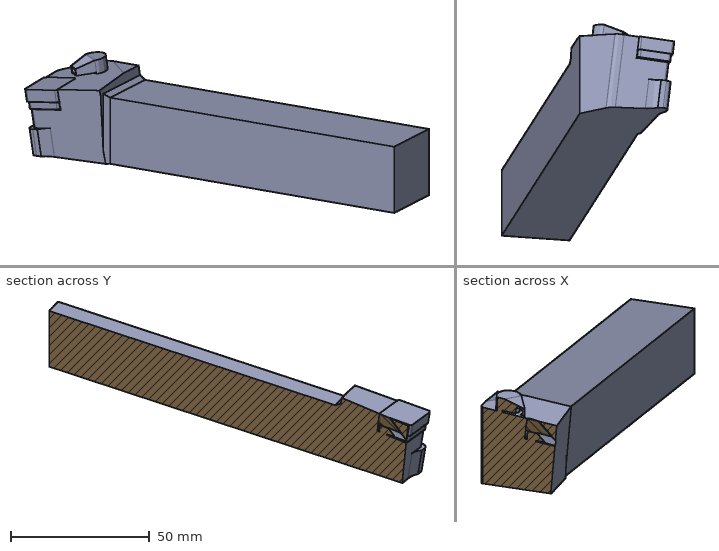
import cadquery as cq
import math


total_length = 150.0
tip_reach = 32.0
shank_size = 25.0
tip_height = 25.0
shank_start = 31.8
shank_front = tip_reach - shank_size

head_end = 29.7
head_end_lean = 0.6
head_flat_height = 30.0
head_corner_x = 14.3
corner_blend = 5.0
front_relief = 0.9
side_relief = 0.8
head_nose_radius = 0.8
neck_rise = 1.5

rake_angle = 8.0
rake_slope = math.tan(math.radians(rake_angle)) / math.sqrt(2)

insert_angle = 80.0
edge_angle = 5.0
inscribed_circle = 12.7
insert_thickness = 4.76
insert_nose_radius = 0.8
shim_thickness = 3.18
shim_relief = 0.45
shim_chamfer = 0.4

foot_diameter = 3.8
foot_step = 1.5
foot_depth = 15.1
foot_flat_end = 3.4
foot_blend_end = 7.8

clamp_x = 16.9
clamp_y = 22.6
clamp_radius = 4.5
clamp_height = 5.23
clamp_gap = 0.5
clamp_nose_height = 3.1
clamp_nose_width = 4.4
clamp_slot_length = 3.5
clamp_slot_height = 2.0
clamp_slot_depth = 3.0
clamp_crease = 1.3
clamp_reach = 8.25
clamp_direction = 232.0

seat = cq.Plane(origin=(0, 0, tip_height), xDir=(1, 0, rake_slope), normal=(-rake_slope, -rake_slope, 1))
head_depth = 2 * tip_height
head_overrun = 1.5 * shank_start


def unit(degrees):
    return cq.Vector(math.cos(math.radians(degrees)), math.sin(math.radians(degrees)))


front_edge = unit(edge_angle)
side_edge = unit(edge_angle + insert_angle)
edge_stretch = 1 / math.sin(math.radians(insert_angle))
edge_length = inscribed_circle * edge_stretch
corner_reach = 1 / math.sin(math.radians(insert_angle / 2))
corner_bisector = unit(edge_angle + insert_angle / 2)
nose_centre = cq.Vector(insert_nose_radius, insert_nose_radius)
insert_corner = nose_centre - corner_bisector * (insert_nose_radius * corner_reach)


def inset_corner(front_inset, side_inset):
    """Corner between lines set in from the front and side cutting edges."""
    return insert_corner + (front_edge * side_inset + side_edge * front_inset) * edge_stretch


def points(vectors):
    return [(v.x, v.y) for v in vectors]


def seat_plane(depth=0.0):
    return cq.Workplane(seat).workplane(offset=-depth)


def rhombus(inset, top_depth, thickness):
    """Rounded rhombic plate below the seat, set in on all four sides from the insert outline."""
    near = inset_corner(inset, inset)
    length = edge_length - 2 * inset * edge_stretch
    front = front_edge * length
    side = side_edge * length
    outline = [near, near + front, near + front + side, near + side]
    plate = seat_plane(top_depth).polyline(points(outline)).close().extrude(-thickness)
    return plate.edges(cq.selectors.ParallelDirSelector(seat.zDir)).fillet(insert_nose_radius)


def round_long_edge(body, corner, radius):
    """Round the edge that runs square to the seat through the given corner of a deep prism."""
    on_edge = seat.toWorldCoords((corner.x, corner.y, -head_depth / 2))
    nearest = cq.selectors.NearestToPointSelector(on_edge.toTuple())
    return body.edges(cq.selectors.ParallelDirSelector(seat.zDir)).edges(nearest).fillet(radius)


def make_shank():
    length = total_length - shank_start
    corner = (shank_start, shank_front, 0)
    return cq.Workplane("XY", origin=corner).box(length, shank_size, shank_size, centered=False)


def make_neck():
    """Flare from the shank section up to the head; the bottom and back faces stay flush."""
    large_size = shank_size + neck_rise
    start = cq.Workplane("YZ", origin=(shank_start, tip_reach, 0))
    small = start.rect(-shank_size, shank_size, centered=False)
    large = small.workplane(offset=head_end - shank_start).rect(-large_size, large_size, centered=False)
    return large.loft()


def make_head_space():
    """Room for the head: between the bottom, the flat cap, the back side face and the leaning end face."""
    neck_top = shank_size + neck_rise
    outline = [
        (-tip_reach, 0),
        (head_end, 0),
        (head_end, neck_top),
        (head_end - head_end_lean, head_flat_height),
        (-tip_reach, head_flat_height),
    ]
    back = cq.Workplane("XZ", origin=(0, tip_reach, 0))
    return back.polyline(outline).close().extrude(2 * tip_reach)


def make_head_prism():
    """Walls of the head, square to the seat; trimmed later by the head space and the neck."""
    corner = inset_corner(front_relief, side_relief)
    front_end = corner + front_edge * head_overrun
    cut_shift = tip_reach - head_corner_x
    along_side = (corner.x + cut_shift - corner.y) / (side_edge.y - side_edge.x)
    cut_start = corner + side_edge * along_side
    cut_end = cq.Vector(front_end.x, front_end.x + cut_shift)
    outline = seat_plane().polyline(points([corner, front_end, cut_end, cut_start])).close()
    head = outline.extrude(-head_depth)
    head = round_long_edge(head, corner, head_nose_radius)
    return round_long_edge(head, cut_start, corner_blend)


def make_clamp():
    """Clamp with a round end, a sloped top towards its tapering nose and a slot in the nose."""
    half_nose = clamp_nose_width / 2
    half_crease = math.sqrt(clamp_radius ** 2 - clamp_crease ** 2)
    frame = cq.Plane(
        origin=seat.toWorldCoords((clamp_x, clamp_y, 0)),
        xDir=seat.toWorldCoords(unit(clamp_direction).toTuple()) - seat.origin,
        normal=seat.zDir,
    )
    body = (
        cq.Workplane(frame)
        .moveTo(clamp_crease, half_crease)
        .threePointArc((-clamp_radius, 0), (clamp_crease, -half_crease))
        .lineTo(clamp_reach, -half_nose)
        .lineTo(clamp_reach, half_nose)
        .close()
        .extrude(clamp_height)
    )
    side = cq.Plane(origin=frame.origin, xDir=frame.xDir, normal=-frame.yDir)
    ramp = (
        cq.Workplane(side)
        .polyline([
            (clamp_crease, clamp_height),
            (clamp_reach, clamp_nose_height),
            (clamp_reach, clamp_height),
        ])
        .close()
        .extrude(clamp_radius, both=True)
    )
    clearance = (
        cq.Workplane(frame)
        .center((clamp_crease + clamp_reach) / 2, 0)
        .rect(clamp_reach - clamp_crease, 2 * clamp_radius)
        .extrude(clamp_gap)
    )
    nose_face = cq.Plane(
        origin=frame.toWorldCoords((clamp_reach, 0, (clamp_gap + clamp_nose_height) / 2)),
        xDir=frame.yDir,
        normal=frame.xDir,
    )
    slot = cq.Workplane(nose_face).slot2D(clamp_slot_length, clamp_slot_height).extrude(-clamp_slot_depth)
    return body.cut(ramp).cut(clearance).cut(slot)


def make_foot():
    """Corner foot: two flats round a cylindrical nose, each ending in a hollow that runs out on the wall."""
    run = foot_blend_end - foot_flat_end
    hollow_radius = (foot_step ** 2 + run ** 2) / (2 * foot_step)
    half_turn = math.asin(run / hollow_radius) / 2
    mid_run = hollow_radius * math.sin(half_turn)
    mid_step = hollow_radius * (1 - math.cos(half_turn))
    outer = inset_corner(front_relief - foot_step, side_relief - foot_step)
    inner = inset_corner(front_relief, side_relief)

    def side_points(edge, outward, relief):
        wall_end = insert_corner + edge * foot_blend_end - outward * relief
        hollow_middle = wall_end - edge * mid_run + outward * mid_step
        flat_end = insert_corner + edge * foot_flat_end + outward * (foot_step - relief)
        return points([wall_end, hollow_middle, flat_end])

    front = side_points(front_edge, unit(edge_angle - 90), front_relief)
    side = side_points(side_edge, unit(edge_angle + insert_angle + 90), side_relief)
    root = inner + corner_bisector * foot_blend_end
    foot = (
        seat_plane(foot_depth)
        .moveTo(root.x, root.y)
        .lineTo(*front[0])
        .threePointArc(front[1], front[2])
        .lineTo(outer.x, outer.y)
        .lineTo(*side[2])
        .threePointArc(side[1], side[0])
        .close()
        .extrude(-head_depth)
    )
    return round_long_edge(foot, outer, foot_diameter / 2)


insert = rhombus(0, 0, insert_thickness)
pocket = rhombus(0, 0, insert_thickness + shim_thickness)
shim = rhombus(shim_relief, insert_thickness, shim_thickness).faces("<Z").chamfer(shim_chamfer)

head_prism = make_head_prism()
head = head_prism.union(make_foot()).intersect(make_head_space())
neck = make_neck().intersect(head_prism)
holder = make_shank().union(neck).union(head).cut(pocket).union(shim).union(make_clamp())

result = cq.Compound.makeCompound([holder.solids().val(), insert.solids().val()])